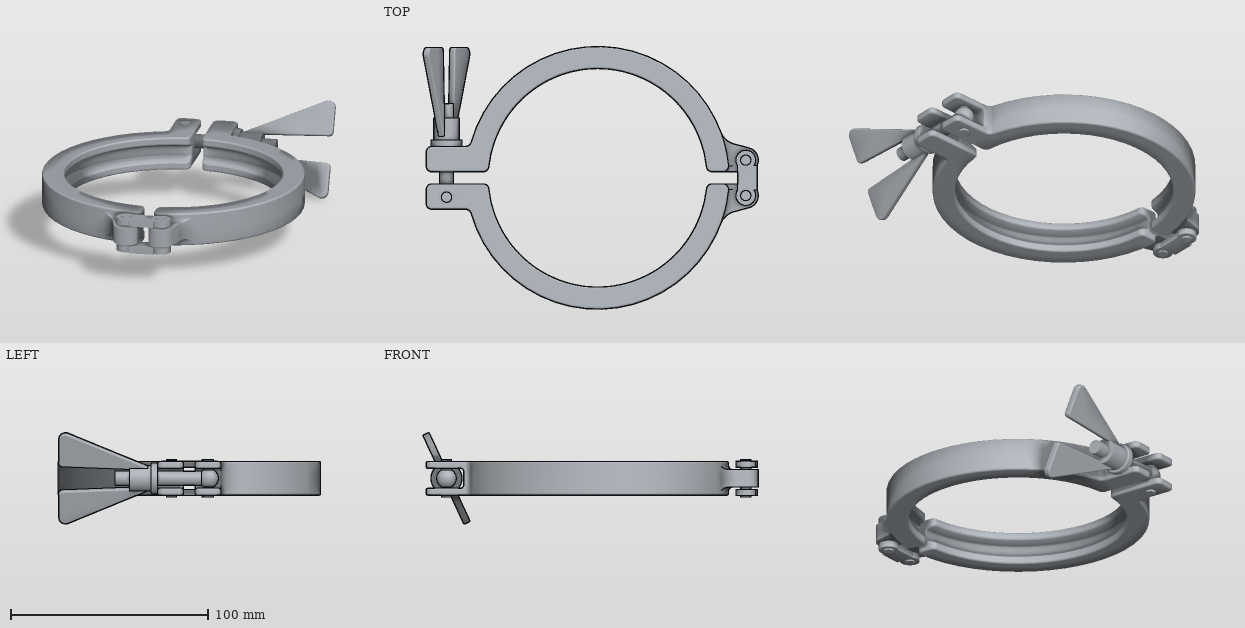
import math

import cadquery as cq

ring_outer_radius = 66.67
ring_inner_radius = 55.4
ring_height = 17.2
split_gap = 6.0
half_gap = split_gap / 2
corner_radius = 3.0
edge_fillet = 1.0

groove_wall_radius = 60.3
groove_mouth_half_height = 4.6
groove_slope = 20.0

lug_end_x = -87.0
lug_outer_y = 16.0
slot_back_x = -68.0
slot_height = 10.0
slot_corner_fillet = 1.5

hinge_pin_x = 75.1
hinge_pin_y = 9.0
pin_radius = 2.6
pin_length = 19.0
ear_radius = 6.4
ear_thickness = 9.0
ear_root_x = groove_wall_radius + edge_fillet
ear_taper = 15.0
ear_side_fillet = 10.0
ear_wall_fillet = 2.0
link_end_radius = 5.0
link_inner_z = 5.55
link_thickness = 3.2
waist_width = 10.0
waist_offset = 0.9
waist_half_length = 6.2

bolt_x = -76.65
bolt_pivot_y = -9.8
ball_radius = 5.0
rod_radius = 3.6
rod_end_y = 37.6
flange_radius = 7.9
flange_thickness = 3.3
flange_fillet = 0.6
nut_radius = 6.5
nut_end_y = 30.4

wing_root_inner_radius = 5.1
wing_root_outer_radius = 6.5
wing_root_y = 21.0
wing_inner_radius = 7.0
wing_corner_radius = 26.9
wing_end_y = 66.2
wing_thickness = 3.6
wing_outer_fillet = 3.5
wing_inner_fillet = 2.0
wing_edge_fillet = 0.8
wing_lean = 24.8


def block(x_range, y_range, height):
    """Box spanning the given X and Y ranges, centred on Z = 0."""
    size_x = x_range[1] - x_range[0]
    size_y = y_range[1] - y_range[0]
    box = cq.Workplane("XY").box(size_x, size_y, height)
    return box.translate((sum(x_range) / 2, sum(y_range) / 2, 0))


def cylinder_z(x, y, radius, height):
    """Upright cylinder centred on Z = 0."""
    return cq.Workplane("XY").cylinder(height, radius).translate((x, y, 0))


def cylinder_y(radius, start_y, end_y):
    """Cylinder around the bolt axis, between two Y positions."""
    plane = cq.Workplane("XZ", origin=(bolt_x, start_y, 0))
    return plane.circle(radius).extrude(start_y - end_y)


def groove_cutter():
    """Revolved V groove, open towards the ring axis."""
    depth = groove_wall_radius - ring_inner_radius
    wall_half_height = groove_mouth_half_height - depth * math.tan(math.radians(groove_slope))
    section = [
        (0, groove_mouth_half_height),
        (ring_inner_radius, groove_mouth_half_height),
        (groove_wall_radius, wall_half_height),
        (groove_wall_radius, -wall_half_height),
        (ring_inner_radius, -groove_mouth_half_height),
        (0, -groove_mouth_half_height),
    ]
    return cq.Workplane("XZ").polyline(section).close().revolve(360, (0, 0, 0), (0, 1, 0))


def clamp_half():
    """Upper (+Y) ring half with its slotted bolt lug."""
    reach = 2 * ring_outer_radius
    half = cylinder_z(0, 0, ring_outer_radius, ring_height)
    half = half.intersect(block((-reach, reach), (half_gap, reach), ring_height))
    half = half.union(block((lug_end_x, -ring_inner_radius), (half_gap, lug_outer_y), ring_height))
    half = half.cut(cylinder_z(0, 0, ring_inner_radius, ring_height))
    half = half.edges("|Z").fillet(corner_radius)
    half = half.cut(groove_cutter())
    slot = block((lug_end_x - edge_fillet, slot_back_x), (0, 2 * lug_outer_y), slot_height)
    slot = slot.edges("|Y and >X").fillet(slot_corner_fillet)
    half = half.cut(slot)
    return half.edges().fillet(edge_fillet)


def ear_prism(height):
    """Hinge ear plan (round eye, tapered flank, fillet onto the ring) as a prism."""
    taper = math.radians(ear_taper)
    normal = cq.Vector(math.sin(taper), math.cos(taper))
    inward = cq.Vector(-math.cos(taper), math.sin(taper))
    pin = cq.Vector(hinge_pin_x, hinge_pin_y)

    centre_distance = ring_outer_radius + ear_side_fillet
    centre_height = pin.dot(normal) + ear_radius + ear_side_fillet
    centre_along = math.sqrt(centre_distance**2 - centre_height**2)
    centre = normal * centre_height - inward * centre_along
    flank_start = centre - normal * ear_side_fillet
    ring_touch = centre * (ring_outer_radius / centre_distance)
    towards_middle = (flank_start + ring_touch) * 0.5 - centre
    fillet_middle = centre + towards_middle.normalized() * ear_side_fillet

    flank_end = pin + normal * ear_radius
    eye_drop = hinge_pin_y - half_gap
    eye_end_x = hinge_pin_x + math.sqrt(ear_radius**2 - eye_drop**2)
    plan = cq.Workplane("XY", origin=(0, 0, -height / 2))
    plan = plan.moveTo(ear_root_x, half_gap).lineTo(eye_end_x, half_gap)
    plan = plan.threePointArc((hinge_pin_x + ear_radius, hinge_pin_y), (flank_end.x, flank_end.y))
    plan = plan.lineTo(flank_start.x, flank_start.y)
    plan = plan.threePointArc((fillet_middle.x, fillet_middle.y), (ring_touch.x, ring_touch.y))
    return plan.close().extrude(height)


def wall_fillet(centre_x, centre_y, wall_radius):
    """Concave fillet from an ear face up a round ring wall, on both faces."""
    ear_half = ear_thickness / 2
    foot = wall_radius + ear_wall_fillet
    top = ear_half + ear_wall_fillet
    inset = ear_wall_fillet * (1 - math.sqrt(0.5))
    section = cq.Workplane("XZ").moveTo(wall_radius - edge_fillet, top).lineTo(wall_radius, top)
    section = section.threePointArc((wall_radius + inset, ear_half + inset), (foot, ear_half))
    section = section.lineTo(foot, 0).lineTo(wall_radius - edge_fillet, 0).close()
    ridge = section.revolve(360, (0, 0, 0), (0, 1, 0)).translate((centre_x, centre_y, 0))
    return ridge.union(ridge.mirror("XY"))


def hinge_ear():
    """Upper (+Y) hinge ear with its fillet following the ring and its end corner."""
    corner_y = half_gap + corner_radius
    corner_x = math.sqrt((ring_outer_radius - corner_radius) ** 2 - corner_y**2)
    reach = 2 * ring_outer_radius
    plan = ear_prism(ring_height)
    along_ring = wall_fillet(0, 0, ring_outer_radius)
    along_ring = along_ring.intersect(block((0, reach), (corner_y, reach), ring_height))
    around_corner = wall_fillet(corner_x, corner_y, corner_radius)
    around_corner = around_corner.intersect(block((corner_x, reach), (0, corner_y), ring_height))
    ear = ear_prism(ear_thickness)
    return ear.union(along_ring.intersect(plan)).union(around_corner.intersect(plan))


def hinge_link(z):
    """One link plate joining the two hinge pins, its lower face at height z."""
    plate = cq.Workplane("XY", origin=(0, 0, z))
    eyes = plate.pushPoints([(hinge_pin_x, hinge_pin_y), (hinge_pin_x, -hinge_pin_y)])
    eyes = eyes.circle(link_end_radius).extrude(link_thickness)
    waist = plate.center(hinge_pin_x + waist_offset, 0).rect(waist_width, 2 * waist_half_length)
    return eyes.union(waist.extrude(link_thickness))


def wing(angle):
    """Flared wing turned to the given angle around the bolt axis."""
    outline = [
        (wing_root_inner_radius, wing_root_y),
        (wing_root_outer_radius, wing_root_y),
        (wing_corner_radius, wing_end_y),
        (wing_inner_radius, wing_end_y),
    ]
    plate = cq.Workplane("XY", origin=(0, 0, -wing_thickness / 2))
    plate = plate.polyline(outline).close().extrude(wing_thickness)
    plate = plate.edges("|Z and >X").fillet(wing_outer_fillet)
    plate = plate.edges(cq.NearestToPointSelector((wing_inner_radius, wing_end_y, 0)))
    plate = plate.fillet(wing_inner_fillet)
    plate = plate.faces("|Z").edges().fillet(wing_edge_fillet)
    return plate.rotate((0, 0, 0), (0, 1, 0), angle).translate((bolt_x, 0, 0))


def swing_bolt():
    """Ball-ended bolt with its pivot pin, flanged nut and two opposite wings."""
    ball = cq.Workplane("XY").sphere(ball_radius).translate((bolt_x, bolt_pivot_y, 0))
    bolt = ball.union(cylinder_z(bolt_x, bolt_pivot_y, pin_radius, pin_length))
    bolt = bolt.union(cylinder_y(rod_radius, bolt_pivot_y, rod_end_y))
    flange = cylinder_y(flange_radius, lug_outer_y, lug_outer_y + flange_thickness)
    bolt = bolt.union(flange.faces(">Y").edges().fillet(flange_fillet))
    bolt = bolt.union(cylinder_y(nut_radius, lug_outer_y, nut_end_y))
    upper_wing_angle = -90 - wing_lean
    for angle in (upper_wing_angle, upper_wing_angle + 180):
        bolt = bolt.union(wing(angle))
    return bolt


upper_half = clamp_half().union(hinge_ear())
result = upper_half.union(upper_half.mirror("XZ"))
for side in (1, -1):
    result = result.union(cylinder_z(hinge_pin_x, side * hinge_pin_y, pin_radius, pin_length))
for link_z in (link_inner_z, -link_inner_z - link_thickness):
    result = result.union(hinge_link(link_z))
result = result.union(swing_bolt())